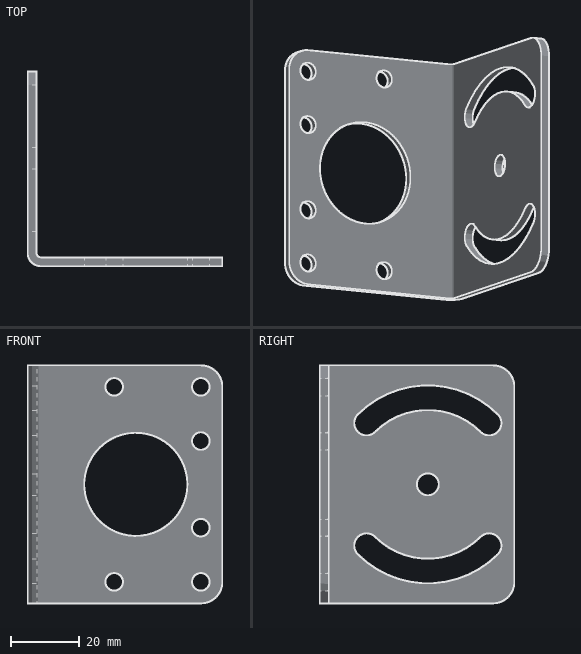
import cadquery as cq
import math

INCH = 25.4
leg_length = 2.25 * INCH
height = 2.75 * INCH
thickness = 0.105 * INCH
inner_bend_radius = 0.05 * INCH
outer_bend_radius = inner_bend_radius + thickness
corner_radius = 0.25 * INCH

mount_hole_diameter = 0.2 * INCH
inner_column_x = 1.0 * INCH
outer_column_x = 2.0 * INCH
corner_hole_offset_z = 1.125 * INCH
middle_hole_offset_z = 0.5 * INCH
bore_x = 1.25 * INCH
bore_diameter = 1.1875 * INCH

pivot_y = 1.25 * INCH
pivot_diameter = 0.25 * INCH
slot_radius = 1.0 * INCH
slot_width = 0.28125 * INCH
slot_half_angle = 45
slot_mid_angles = (90, -90)


def bent_sheet():
    """L-shaped sheet with a rounded bend, centred on Z = 0."""
    profile = (
        cq.Workplane("XY")
        .workplane(offset=-height / 2)
        .polyline(
            [
                (0, 0),
                (leg_length, 0),
                (leg_length, thickness),
                (thickness, thickness),
                (thickness, leg_length),
                (0, leg_length),
            ]
        )
        .close()
    )
    sheet = profile.extrude(height)
    sheet = sheet.edges(cq.selectors.NearestToPointSelector((0, 0, 0))).fillet(outer_bend_radius)
    inside_corner = cq.selectors.NearestToPointSelector((thickness, thickness, 0))
    return sheet.edges(inside_corner).fillet(inner_bend_radius)


def round_free_corners(sheet):
    """Round the two corners at the free end of each leg."""
    sheet = sheet.faces(">X").edges("|Y").fillet(corner_radius)
    return sheet.faces(">Y").edges("|X").fillet(corner_radius)


def mount_leg_cutter(points, diameter):
    """Round cutters through the mounting leg at (x, z) points."""
    plane = cq.Workplane("XZ")
    return plane.pushPoints(points).circle(diameter / 2).extrude(-thickness)


def slot_point(radius, angle):
    """Point (y, z) at a polar position about the pivot, angle in degrees from +Y."""
    turn = math.radians(angle)
    return (pivot_y + radius * math.cos(turn), radius * math.sin(turn))


def arc_slot_cutter(mid_angle):
    """Curved slot about the pivot with round ends, through the pivot leg."""
    start = mid_angle - slot_half_angle
    end = mid_angle + slot_half_angle
    inner = slot_radius - slot_width / 2
    outer = slot_radius + slot_width / 2
    band = (
        cq.Workplane("YZ")
        .moveTo(*slot_point(outer, start))
        .threePointArc(slot_point(outer, mid_angle), slot_point(outer, end))
        .lineTo(*slot_point(inner, end))
        .threePointArc(slot_point(inner, mid_angle), slot_point(inner, start))
        .close()
        .extrude(thickness)
    )
    end_centres = [slot_point(slot_radius, start), slot_point(slot_radius, end)]
    ends = cq.Workplane("YZ").pushPoints(end_centres).circle(slot_width / 2).extrude(thickness)
    return band.union(ends)


def pivot_cutter():
    """Round pivot hole through the pivot leg."""
    return cq.Workplane("YZ").center(pivot_y, 0).circle(pivot_diameter / 2).extrude(thickness)


mount_points = []
for side in (-1, 1):
    mount_points.append((inner_column_x, side * corner_hole_offset_z))
    mount_points.append((outer_column_x, side * corner_hole_offset_z))
    mount_points.append((outer_column_x, side * middle_hole_offset_z))

bracket = round_free_corners(bent_sheet())
bracket = bracket.cut(mount_leg_cutter(mount_points, mount_hole_diameter))
bracket = bracket.cut(mount_leg_cutter([(bore_x, 0)], bore_diameter))
bracket = bracket.cut(pivot_cutter())
for mid_angle in slot_mid_angles:
    bracket = bracket.cut(arc_slot_cutter(mid_angle))

result = bracket